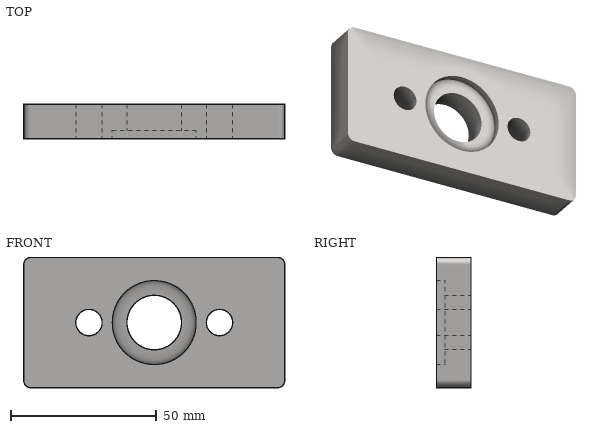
import cadquery as cq

length = 90.0
height = length / 2
thickness = 12.0
corner_radius = 2.5

bore_diameter = 18.7
recess_diameter = 29.0
recess_depth = 3.0

mount_hole_diameter = 9.0
mount_hole_spacing = length / 2

plate = cq.Workplane("XY").box(length, thickness, height).edges("|Y").fillet(corner_radius)

front_face = plate.faces("<Y").workplane(centerOption="CenterOfBoundBox")
plate = front_face.cboreHole(bore_diameter, recess_diameter, recess_depth)

front_face = plate.faces("<Y").workplane(centerOption="CenterOfBoundBox")
mount_points = [(side * mount_hole_spacing / 2, 0) for side in (-1, 1)]
result = front_face.pushPoints(mount_points).hole(mount_hole_diameter)